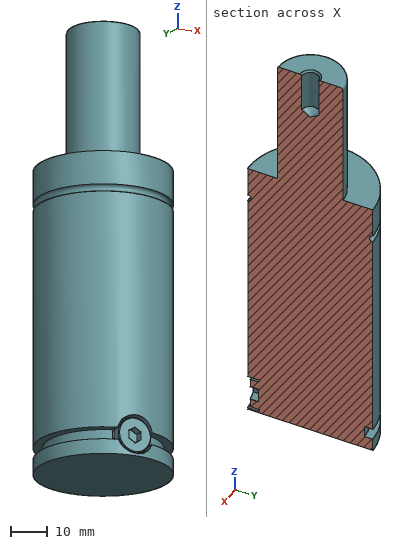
import cadquery as cq
import math

total_height = 126.0
body_diameter = 38.0
body_height = 86.0
rod_diameter = 20.0
rod_edge_radius = 1.0

neck_groove_height = 75.6
neck_groove_radius = 1.0

base_groove_bottom = 4.2
base_groove_top = 7.5
base_groove_diameter = 33.0

rod_hole_diameter = 5.0
rod_hole_mouth_diameter = 6.0
rod_hole_depth = 12.6
drill_point_angle = 118.0

plug_height = 6.2
plug_diameter = 10.0
plug_face_distance = 18.3
plug_edge_chamfer = 0.3
plug_pocket_diameter = 11.0
plug_pocket_floor_distance = 15.5
hex_across_flats = 3.8
hex_depth = 2.5

body_radius = body_diameter / 2


def make_body():
    """Cylinder body with a round-edged piston rod on top."""
    body = cq.Workplane("XY").circle(body_radius).extrude(body_height)
    rod = (
        cq.Workplane("XY")
        .workplane(offset=body_height)
        .circle(rod_diameter / 2)
        .extrude(total_height - body_height)
        .faces(">Z")
        .fillet(rod_edge_radius)
    )
    return body.union(rod)


def make_neck_groove():
    """Ring of round section centred on the body surface."""
    return (
        cq.Workplane("XZ")
        .center(body_radius, neck_groove_height)
        .circle(neck_groove_radius)
        .revolve(360, (-body_radius, 0), (-body_radius, 1))
    )


def make_base_groove():
    """Square-section ring removed around the base."""
    return (
        cq.Workplane("XY")
        .workplane(offset=base_groove_bottom)
        .circle(body_radius)
        .circle(base_groove_diameter / 2)
        .extrude(base_groove_top - base_groove_bottom)
    )


def make_rod_hole():
    """Blind hole with a 45 degree countersink and a conical drill point."""
    hole_radius = rod_hole_diameter / 2
    mouth_radius = rod_hole_mouth_diameter / 2
    countersink_bottom = total_height - (mouth_radius - hole_radius)
    hole_bottom = total_height - rod_hole_depth
    point_length = hole_radius / math.tan(math.radians(drill_point_angle / 2))
    return (
        cq.Workplane("XZ")
        .moveTo(0, total_height)
        .lineTo(mouth_radius, total_height)
        .lineTo(hole_radius, countersink_bottom)
        .lineTo(hole_radius, hole_bottom)
        .lineTo(0, hole_bottom - point_length)
        .close()
        .revolve(360, (0, 0), (0, 1))
    )


def plug_plane(distance):
    """Workplane on the plug axis, facing -Y at a distance from the body axis."""
    return cq.Workplane("XZ", origin=(0, -distance, plug_height))


def make_plug_pocket():
    """Round pocket that leaves a clearance ring around the plug."""
    pocket_depth = body_radius - plug_pocket_floor_distance
    return plug_plane(plug_pocket_floor_distance).circle(plug_pocket_diameter / 2).extrude(pocket_depth)


def make_plug():
    """Chamfered plug with a hexagon socket, corners pointing up and down."""
    hex_corner_diameter = hex_across_flats / math.cos(math.radians(30))
    plug_length = plug_face_distance - plug_pocket_floor_distance
    plug = (
        plug_plane(plug_pocket_floor_distance)
        .circle(plug_diameter / 2)
        .extrude(plug_length)
        .faces("<Y")
        .chamfer(plug_edge_chamfer)
    )
    socket = (
        plug_plane(plug_face_distance)
        .transformed(rotate=(0, 0, 90))
        .polygon(6, hex_corner_diameter)
        .extrude(-hex_depth)
    )
    return plug.cut(socket)


result = (
    make_body()
    .cut(make_neck_groove())
    .cut(make_base_groove())
    .cut(make_rod_hole())
    .cut(make_plug_pocket())
    .union(make_plug())
)